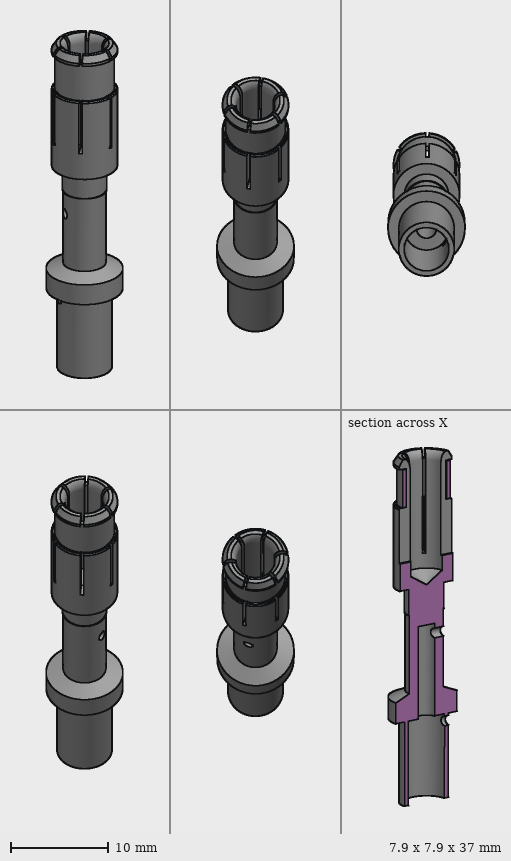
import cadquery as cq
import math

total_height = 36.95
flange_bottom = 8.98
flange_rim_top = 11.25
flange_cone_top = 11.95
shaft_top = 20.25
socket_bottom = 23.02
slot_floor = 25.98
socket_top = 31.85
head_bottom = 35.95
head_land_top = 36.25

base_radius = 2.85
flange_radius = 3.95
shaft_radius = 2.2
collar_radius = 2.3
socket_radius = 3.4
finger_radius = 2.6
ring_radius = 3.05
head_top_radius = 2.92
socket_chamfer = 0.15

bore_radius = 2.0
mouth_radius = 2.5
mouth_depth = 1.0
bore_floor = 24.4
drill_angle = 118.0

slot_width = 0.35
slot_count = 6

wire_bore_radius = 2.3
wire_bore_depth = flange_bottom
passage_radius = 1.05
passage_top = 18.85

hole_diameter = 1.0
hole_heights = [8.25, 17.85]


def make_body():
    """Turned outside shape, with a waist for the ring below the head."""
    profile = (
        cq.Workplane("XZ")
        .lineTo(base_radius, 0)
        .lineTo(base_radius, flange_bottom)
        .lineTo(flange_radius, flange_bottom)
        .lineTo(flange_radius, flange_rim_top)
        .lineTo(shaft_radius, flange_cone_top)
        .lineTo(shaft_radius, shaft_top)
        .lineTo(collar_radius, shaft_top)
        .lineTo(collar_radius, socket_bottom)
        .lineTo(socket_radius, socket_bottom)
        .lineTo(socket_radius, socket_top - socket_chamfer)
        .lineTo(socket_radius - socket_chamfer, socket_top)
        .lineTo(finger_radius, socket_top)
        .lineTo(finger_radius, head_bottom)
        .lineTo(socket_radius, head_bottom)
        .lineTo(socket_radius, head_land_top)
        .lineTo(head_top_radius, total_height)
        .lineTo(0, total_height)
        .close()
    )
    return profile.revolve(360, (0, 0, 0), (0, 1, 0))


def make_socket_bore():
    """Bore with a mouth that flares tangentially from its wall, ending in a drill point."""
    drill_depth = bore_radius / math.tan(math.radians(drill_angle / 2))
    mouth_flare = mouth_radius - bore_radius
    mouth_curve_radius = (mouth_flare**2 + mouth_depth**2) / (2 * mouth_flare)
    curve_start = total_height - mouth_depth
    half_angle = math.asin(mouth_depth / mouth_curve_radius) / 2
    curve_middle = (
        bore_radius + mouth_curve_radius * (1 - math.cos(half_angle)),
        curve_start + mouth_curve_radius * math.sin(half_angle),
    )
    profile = (
        cq.Workplane("XZ")
        .moveTo(0, bore_floor - drill_depth)
        .lineTo(bore_radius, bore_floor)
        .lineTo(bore_radius, curve_start)
        .threePointArc(curve_middle, (mouth_radius, total_height))
        .lineTo(0, total_height)
        .close()
    )
    return profile.revolve(360, (0, 0, 0), (0, 1, 0))


def make_slots():
    """Radial slots that part the socket wall and head into spring fingers."""
    slots = cq.Workplane("XY")
    slot_height = total_height - slot_floor
    for index in range(slot_count // 2):
        angle = 90 + index * 360 / slot_count
        slot = (
            cq.Workplane("XY", origin=(0, 0, slot_floor))
            .box(2 * flange_radius, slot_width, slot_height, centered=(True, True, False))
            .rotate((0, 0, 0), (0, 0, 1), angle)
        )
        slots = slots.add(slot)
    return slots.combine()


def make_ring():
    """Closed ring in the waist that covers the slots."""
    return (
        cq.Workplane("XY", origin=(0, 0, socket_top))
        .circle(ring_radius)
        .circle(finger_radius)
        .extrude(head_bottom - socket_top)
    )


def make_wire_bore():
    """Blind stepped bore from the base: wide for the wire, then narrow."""
    wide = cq.Workplane("XY").circle(wire_bore_radius).extrude(wire_bore_depth)
    narrow = cq.Workplane("XY").circle(passage_radius).extrude(passage_top)
    return wide.union(narrow)


def make_inspection_hole(height):
    """Radial hole from the -Y side to the axis."""
    return (
        cq.Workplane("XZ", origin=(0, 0, height))
        .circle(hole_diameter / 2)
        .extrude(flange_radius)
    )


result = make_body().cut(make_socket_bore()).cut(make_slots()).union(make_ring())
result = result.cut(make_wire_bore())
for hole_height in hole_heights:
    result = result.cut(make_inspection_hole(hole_height))